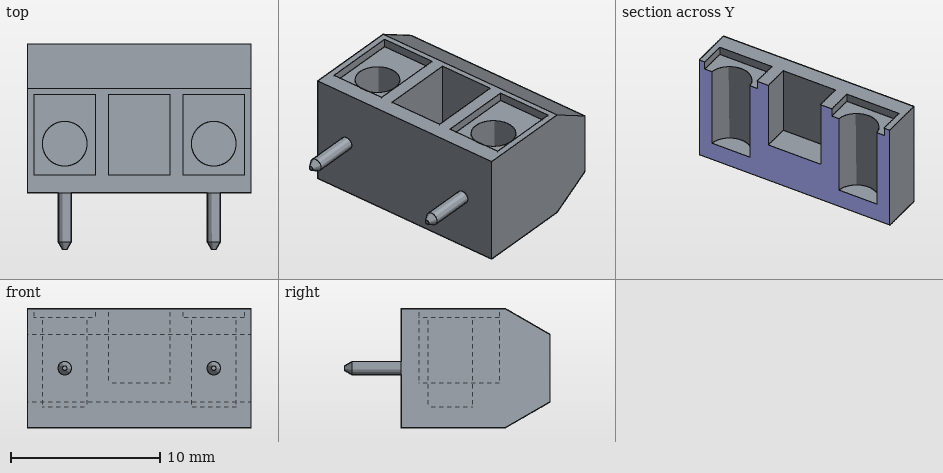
import cadquery as cq
import math

body_width = 15.0
body_depth = 10.0
body_height = 8.0
half_height = body_height / 2
bevel_run = 3.0
bevel_angle = math.radians(30)
bevel_drop = bevel_run * math.tan(bevel_angle)

pole_pitch = 10.0
pole_centers = (-pole_pitch / 2, pole_pitch / 2)

pocket_width = 4.1
pocket_length = 5.4
pocket_front_wall = 1.2
pocket_center_y = pocket_front_wall + pocket_length / 2
outer_pocket_depth = 0.6
middle_pocket_depth = 5.0

screw_hole_diameter = 3.0
screw_hole_depth = 6.0
screw_hole_y = 3.3

pin_diameter = 0.9
pin_length = 3.8
pin_tip_diameter = 0.3
pin_tip_angle = math.radians(30)
pin_tip_length = (pin_diameter - pin_tip_diameter) / 2 / math.tan(pin_tip_angle)
pin_root = 1.0


def make_housing():
    outline = [
        (0, -half_height),
        (body_depth - bevel_run, -half_height),
        (body_depth, -half_height + bevel_drop),
        (body_depth, half_height - bevel_drop),
        (body_depth - bevel_run, half_height),
        (0, half_height),
    ]
    return cq.Workplane("YZ").polyline(outline).close().extrude(body_width / 2, both=True)


def make_pocket(center_x, depth):
    return (
        cq.Workplane("XY", origin=(center_x, pocket_center_y, half_height))
        .rect(pocket_width, pocket_length)
        .extrude(-depth)
    )


def make_screw_hole(center_x):
    floor_z = half_height - outer_pocket_depth
    return (
        cq.Workplane("XY", origin=(center_x, screw_hole_y, floor_z))
        .circle(screw_hole_diameter / 2)
        .extrude(-screw_hole_depth)
    )


def make_pin(center_x):
    """Round pin with a blunt conical tip, revolved about its own axis along Y."""
    half_profile = [
        (pin_root, 0),
        (pin_root, pin_diameter / 2),
        (pin_tip_length - pin_length, pin_diameter / 2),
        (-pin_length, pin_tip_diameter / 2),
        (-pin_length, 0),
    ]
    pin = cq.Workplane("YZ").polyline(half_profile).close().revolve(360, (0, 0), (1, 0))
    return pin.translate((center_x, 0, 0))


result = make_housing().cut(make_pocket(0, middle_pocket_depth))
for pole_x in pole_centers:
    result = result.cut(make_pocket(pole_x, outer_pocket_depth))
    result = result.cut(make_screw_hole(pole_x))
    result = result.union(make_pin(pole_x))